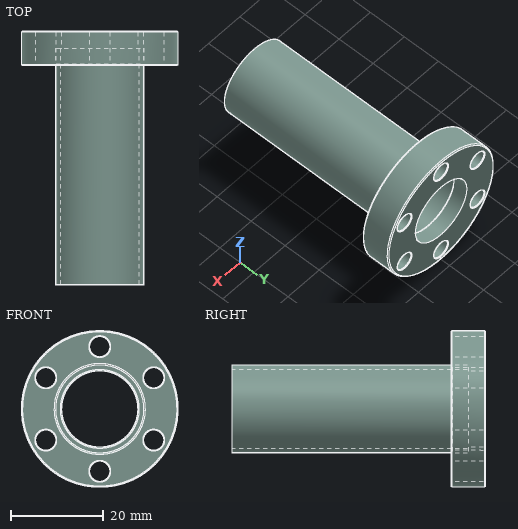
import cadquery as cq
import math

TOTAL_LENGTH = 55.0
FLANGE_DIAMETER = 34.0
FLANGE_THICKNESS = 7.55
FLANGE_CHAMFER = 0.3

TUBE_DIAMETER = 19.1
TUBE_BORE = 17.1

BORE_DIAMETER = 16.5
SOCKET_CHAMFER = 0.35
SOCKET_DEPTH = FLANGE_THICKNESS / 2
BOLT_COUNT = 6
BOLT_CIRCLE_DIAMETER = 27.0
BOLT_HOLE_DIAMETER = 4.4
BOLT_HOLE_CHAMFER = 0.15

TUBE_END_Y = -TOTAL_LENGTH / 2
FLANGE_BACK_Y = TOTAL_LENGTH / 2
FLANGE_FRONT_Y = FLANGE_BACK_Y - FLANGE_THICKNESS
SOCKET_FLOOR_Y = FLANGE_FRONT_Y + SOCKET_DEPTH


def cylinder(diameter, start_y, end_y, x=0, z=0):
    """Solid cylinder along Y between two Y positions."""
    solid = cq.Solid.makeCylinder(
        diameter / 2, end_y - start_y, cq.Vector(x, start_y, z), cq.Vector(0, 1, 0)
    )
    return cq.Workplane(obj=solid)


def mouth_cone(hole_diameter, chamfer, mouth_y, inward, x=0, z=0):
    """Cone that chamfers a hole's mouth; inward is +1 or -1 along Y, into the material."""
    cone = cq.Solid.makeCone(
        hole_diameter / 2 + chamfer, hole_diameter / 2, chamfer,
        cq.Vector(x, mouth_y, z), cq.Vector(0, inward, 0),
    )
    return cq.Workplane(obj=cone)


def bolt_hole(x, z):
    """Through hole with a small chamfer at each mouth."""
    hole = cylinder(BOLT_HOLE_DIAMETER, FLANGE_FRONT_Y, FLANGE_BACK_Y, x, z)
    for mouth_y, inward in ((FLANGE_FRONT_Y, 1), (FLANGE_BACK_Y, -1)):
        hole = hole.union(mouth_cone(BOLT_HOLE_DIAMETER, BOLT_HOLE_CHAMFER, mouth_y, inward, x, z))
    return hole


def make_flange():
    """Bolted disc with a bore, a socket for the tube chamfered at its mouth."""
    flange = cylinder(FLANGE_DIAMETER, FLANGE_FRONT_Y, FLANGE_BACK_Y)
    flange = flange.edges("%CIRCLE").chamfer(FLANGE_CHAMFER)
    flange = flange.cut(cylinder(BORE_DIAMETER, FLANGE_FRONT_Y, FLANGE_BACK_Y))
    flange = flange.cut(cylinder(TUBE_DIAMETER, FLANGE_FRONT_Y, SOCKET_FLOOR_Y))
    flange = flange.cut(mouth_cone(TUBE_DIAMETER, SOCKET_CHAMFER, FLANGE_FRONT_Y, 1))
    for index in range(BOLT_COUNT):
        angle = math.radians(90 + index * 360 / BOLT_COUNT)
        x = BOLT_CIRCLE_DIAMETER / 2 * math.cos(angle)
        z = BOLT_CIRCLE_DIAMETER / 2 * math.sin(angle)
        flange = flange.cut(bolt_hole(x, z))
    return flange


def make_tube():
    """Plain tube seated on the floor of the flange socket."""
    tube = cylinder(TUBE_DIAMETER, TUBE_END_Y, SOCKET_FLOOR_Y)
    return tube.cut(cylinder(TUBE_BORE, TUBE_END_Y, SOCKET_FLOOR_Y))


flange = make_flange()
tube = make_tube()
result = cq.Compound.makeCompound([flange.val(), tube.val()])